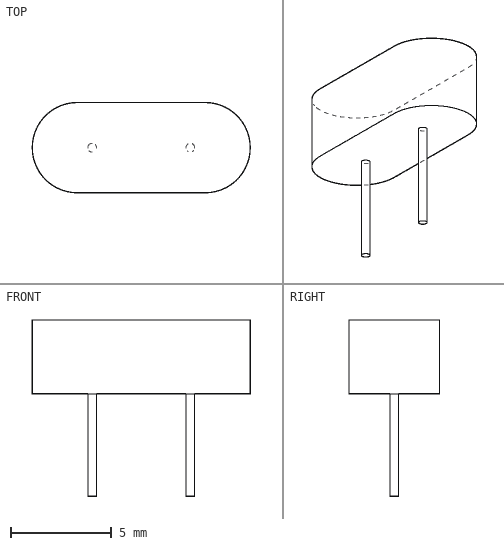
import cadquery as cq

can_length = 10.85
can_width = 4.5
can_height = 3.68
overall_height = 8.78
pin_diameter = 0.43
pin_spacing = 4.88

pin_length = overall_height - can_height


def make_can():
    """Obround can standing on the XY plane, long axis along X."""
    return cq.Workplane("XY").slot2D(can_length, can_width).extrude(can_height)


def make_pin(x):
    """Straight round lead hanging from the underside of the can."""
    return cq.Workplane("XY").center(x, 0).circle(pin_diameter / 2).extrude(-pin_length)


can = make_can()
pins = [make_pin(side * pin_spacing / 2) for side in (-1, 1)]

result = cq.Compound.makeCompound([can.val(), *[pin.val() for pin in pins]])